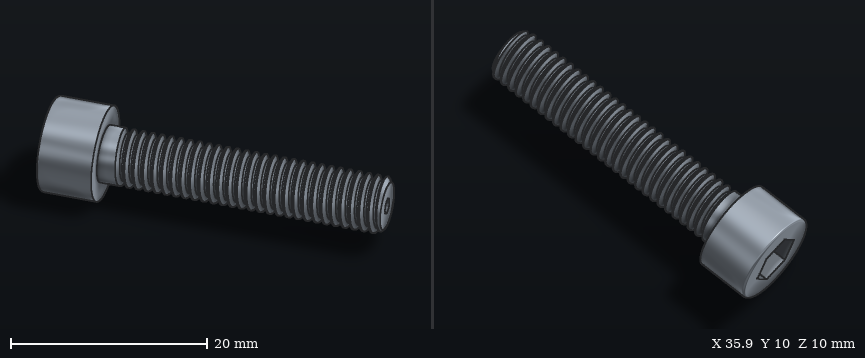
import cadquery as cq
import math

length = 35.85
head_diameter = 10.0
head_height = 5.85
head_edge_radius = 0.25
socket_across_flats = 5.0
socket_depth = 3.0
bore_diameter = 1.58
shank_diameter = 6.0
shank_pitches = 30
thread_start = 7.5
tip_chamfer = 0.5
overrun = 0.05

shank_length = length - head_height
shank_radius = shank_diameter / 2

pitch = shank_length / shank_pitches
flank_angle = math.radians(30)
crest_width = pitch / 8
root_width = pitch / 4
thread_depth = (pitch - crest_width - root_width) / (2 * math.tan(flank_angle))
root_radius = shank_radius - thread_depth


def make_head():
    head = cq.Workplane("YZ").circle(head_diameter / 2).extrude(head_height)
    return head.faces("<X").edges().fillet(head_edge_radius)


def make_shank():
    return cq.Workplane("YZ", origin=(head_height, 0, 0)).circle(shank_radius).extrude(shank_length)


def make_thread_groove():
    outer_radius = shank_radius + overrun
    root_half = root_width / 2
    outer_half = root_half + (outer_radius - root_radius) * math.tan(flank_angle)
    corners = [
        (root_radius, -root_half),
        (root_radius, root_half),
        (outer_radius, outer_half),
        (outer_radius, -outer_half),
    ]
    turns = math.ceil((length + outer_half - thread_start) / pitch)
    helices = [
        cq.Wire.makeHelix(pitch, turns * pitch, radius, center=cq.Vector(0, 0, offset))
        for radius, offset in corners
    ]
    neighbours = helices[1:] + helices[:1]
    faces = [cq.Face.makeRuledSurface(*pair) for pair in zip(helices, neighbours)]
    start_corners = [helix.startPoint() for helix in helices]
    end_corners = [helix.endPoint() for helix in helices]
    for ends in (start_corners, end_corners):
        faces.append(cq.Face.makeFromWires(cq.Wire.makePolygon(ends, close=True)))
    groove = cq.Workplane(obj=cq.Solid.makeSolid(cq.Shell.makeShell(faces)))
    return groove.rotate((0, 0, 0), (0, 1, 0), 90).translate((thread_start, 0, 0))


def make_tip_cutter():
    tip_radius = shank_radius - tip_chamfer
    ring_depth = tip_chamfer + overrun
    return (
        cq.Workplane("XY")
        .moveTo(length + overrun, tip_radius - overrun)
        .lineTo(length + overrun, tip_radius + ring_depth)
        .lineTo(length - ring_depth, tip_radius + ring_depth)
        .close()
        .revolve(360, (0, 0, 0), (1, 0, 0))
    )


def make_socket():
    sides = 6
    corner_diameter = socket_across_flats / math.cos(math.pi / sides)
    return cq.Workplane("YZ").polygon(sides, corner_diameter).extrude(socket_depth)


def make_bore():
    return cq.Workplane("YZ").circle(bore_diameter / 2).extrude(length)


threaded_shank = make_shank().cut(make_thread_groove()).cut(make_tip_cutter())
screw = make_head().union(threaded_shank).cut(make_socket()).cut(make_bore())
result = screw.solids()